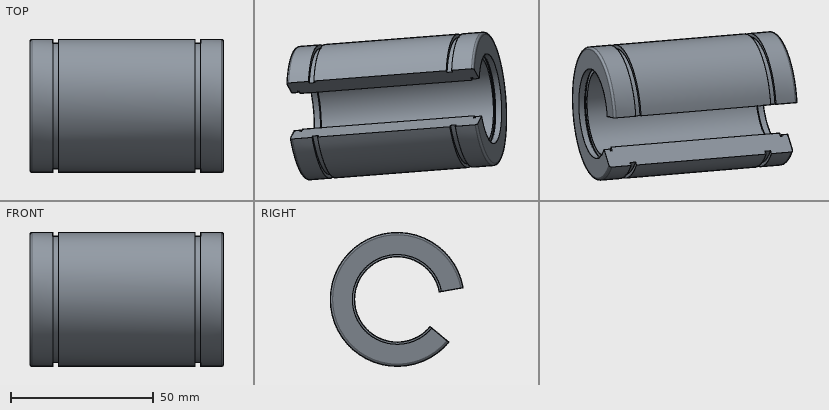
import cadquery as cq
import math

length = 68.0
outer_radius = 23.5
bore_radius = 14.95
end_rounding = 0.8

recess_radius = 15.8
recess_depth = 2.25

relief_radius = 16.45
relief_width = 0.55

groove_radius = 22.25
groove_width = 2.0
groove_offset = 8.0

opening_start = -39.6
opening_end = 10.0


def cylinder(radius, start, depth):
    """Solid cylinder on the X axis."""
    return cq.Workplane("YZ").workplane(offset=start).circle(radius).extrude(depth)


def sleeve_body():
    body = cylinder(outer_radius, 0, length).faces("<X or >X").edges().fillet(end_rounding)
    return body.cut(cylinder(bore_radius, 0, length))


def groove(start):
    """Ring of material removed from the outside of the sleeve."""
    ring = cylinder(outer_radius, start, groove_width)
    return ring.cut(cylinder(groove_radius, start, groove_width))


def opening_wedge():
    """Sector with its tip on the axis, reaching beyond the outside."""
    reach = 2 * outer_radius
    corners = [(0, 0)]
    for angle in (opening_start, opening_end):
        direction = math.radians(angle)
        corners.append((reach * math.cos(direction), reach * math.sin(direction)))
    return cq.Workplane("YZ").polyline(corners).close().extrude(length)


result = sleeve_body()
for groove_start in (groove_offset, length - groove_offset - groove_width):
    result = result.cut(groove(groove_start))
for recess_start in (0, length - recess_depth):
    result = result.cut(cylinder(recess_radius, recess_start, recess_depth))
for relief_start in (recess_depth, length - recess_depth - relief_width):
    result = result.cut(cylinder(relief_radius, relief_start, relief_width))
result = result.cut(opening_wedge())